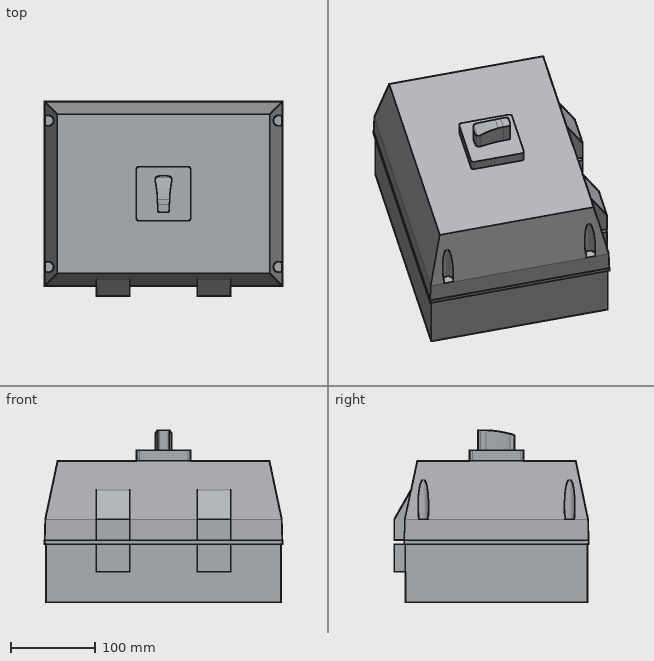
import cadquery as cq

BASE_HEIGHT = 69.3
RIM_TOP = 74.0
SKIRT_TOP = 98.5
LID_TOP = 168.0
PLATE_TOP = 180.8
KNOB_TOP = 204.5

RIM_LENGTH = 283.0
RIM_WIDTH = 219.5
BASE_INSET = 1.7
SKIRT_FOOT_INSET = 0.3
SKIRT_TOP_INSET = 0.8
LID_TOP_INSET = 15.5

LATCH_WIDTH = 40.0
LATCH_SPACING = 119.7
LATCH_FACE_Y = -121.7
LATCH_BOTTOM = 36.2
LATCH_TOP = 134.0
LATCH_ROOT_Y = LID_TOP_INSET - RIM_WIDTH / 2

GROOVE_DIAMETER = 12.7
GROOVE_X = 137.0
GROOVE_Y = 87.0

PLATE_SIZE = 64.5
PLATE_CORNER_RADIUS = 3.5
KNOB_FRONT_Y = -22.0
KNOB_BACK_Y = 21.5
KNOB_FLARE_Y = -12.7
KNOB_FALL_Y = -6.2
KNOB_FALL_DROP = 0.3
KNOB_FRONT_BULGE = 0.5
KNOB_BACK_BULGE = 1.7
KNOB_BACK_CLEARANCE = 0.5
KNOB_FRONT_WIDTH = 14.2
KNOB_BACK_WIDTH = 21.5
KNOB_BACK_DROP = 6.0
KNOB_FRONT_RADIUS = 2.5
KNOB_BACK_RADIUS = 4.5
KNOB_BACK_TOP_RADIUS = 3.5


def block(inset, bottom, top):
    """Rectangular block whose walls stand a given inset behind the rim edge."""
    return (
        cq.Workplane("XY", origin=(0, 0, bottom))
        .rect(RIM_LENGTH - 2 * inset, RIM_WIDTH - 2 * inset)
        .extrude(top - bottom)
    )


def frustum(bottom_inset, top_inset, bottom, top):
    """Block whose four walls lean from one inset to another."""
    return (
        cq.Workplane("XY", origin=(0, 0, bottom))
        .rect(RIM_LENGTH - 2 * bottom_inset, RIM_WIDTH - 2 * bottom_inset)
        .workplane(offset=top - bottom)
        .rect(RIM_LENGTH - 2 * top_inset, RIM_WIDTH - 2 * top_inset)
        .loft(ruled=True)
    )


def add_latches(body, side_outline):
    """Add a latch half with the given (Y, Z) outline at each latch position."""
    for center_x in (-LATCH_SPACING / 2, LATCH_SPACING / 2):
        latch = (
            cq.Workplane("YZ", origin=(center_x, 0, 0))
            .polyline(side_outline)
            .close()
            .extrude(LATCH_WIDTH / 2, both=True)
        )
        body = body.union(latch)
    return body


def make_base():
    """Lower box with the lower latch halves."""
    outline = [
        (LATCH_ROOT_Y, LATCH_BOTTOM),
        (LATCH_FACE_Y, LATCH_BOTTOM),
        (LATCH_FACE_Y, BASE_HEIGHT),
        (LATCH_ROOT_Y, BASE_HEIGHT),
    ]
    return add_latches(block(BASE_INSET, 0, BASE_HEIGHT), outline)


def make_lid():
    """Rim, drafted skirt and sloping hood, with screw grooves and upper latch halves."""
    rim = block(0, BASE_HEIGHT, RIM_TOP)
    skirt = frustum(SKIRT_FOOT_INSET, SKIRT_TOP_INSET, RIM_TOP, SKIRT_TOP)
    hood = frustum(SKIRT_TOP_INSET, LID_TOP_INSET, SKIRT_TOP, LID_TOP)
    grooves = (
        cq.Workplane("XY", origin=(0, 0, SKIRT_TOP))
        .rect(2 * GROOVE_X, 2 * GROOVE_Y, forConstruction=True)
        .vertices()
        .circle(GROOVE_DIAMETER / 2)
        .extrude(LID_TOP - SKIRT_TOP)
    )
    lid = rim.union(skirt).union(hood).cut(grooves)

    slope_fraction = (LATCH_TOP - SKIRT_TOP) / (LID_TOP - SKIRT_TOP)
    inset_at_latch_top = SKIRT_TOP_INSET + slope_fraction * (LID_TOP_INSET - SKIRT_TOP_INSET)
    outline = [
        (LATCH_ROOT_Y, RIM_TOP),
        (LATCH_FACE_Y, RIM_TOP),
        (LATCH_FACE_Y, SKIRT_TOP),
        (inset_at_latch_top - RIM_WIDTH / 2, LATCH_TOP),
        (LATCH_ROOT_Y, LATCH_TOP),
    ]
    return add_latches(lid, outline)


def make_knob():
    """Knob with bowed ends, its sides flaring and its top falling in arcs towards the back."""
    front_half = KNOB_FRONT_WIDTH / 2
    back_half = KNOB_BACK_WIDTH / 2
    front_corner_y = KNOB_FRONT_Y + KNOB_FRONT_BULGE
    back_corner_y = KNOB_BACK_Y - KNOB_BACK_BULGE
    half_flare_y = (KNOB_FLARE_Y + back_corner_y) / 2
    half_flare_x = front_half + (back_half - front_half) / 4
    prism = (
        cq.Workplane("XY", origin=(0, 0, PLATE_TOP))
        .moveTo(-front_half, front_corner_y)
        .threePointArc((0, KNOB_FRONT_Y), (front_half, front_corner_y))
        .lineTo(front_half, KNOB_FLARE_Y)
        .threePointArc((half_flare_x, half_flare_y), (back_half, back_corner_y))
        .threePointArc((0, KNOB_BACK_Y), (-back_half, back_corner_y))
        .threePointArc((-half_flare_x, half_flare_y), (-front_half, KNOB_FLARE_Y))
        .close()
        .extrude(KNOB_TOP - PLATE_TOP)
    )
    prism = prism.edges("|Z").edges("<Y").fillet(KNOB_FRONT_RADIUS)
    prism = prism.edges("|Z").edges(">Y").fillet(KNOB_BACK_RADIUS)

    profile_back_y = KNOB_BACK_Y + KNOB_BACK_CLEARANCE
    side_profile = (
        cq.Workplane("YZ")
        .moveTo(KNOB_FRONT_Y, PLATE_TOP)
        .lineTo(KNOB_FRONT_Y, KNOB_TOP)
        .lineTo(KNOB_FLARE_Y, KNOB_TOP)
        .tangentArcPoint((KNOB_FALL_Y, KNOB_TOP - KNOB_FALL_DROP), relative=False)
        .tangentArcPoint((profile_back_y, KNOB_TOP - KNOB_BACK_DROP), relative=False)
        .lineTo(profile_back_y, PLATE_TOP)
        .close()
        .extrude(KNOB_BACK_WIDTH, both=True)
    )
    side_profile = side_profile.faces(">Y").edges(">Z").fillet(KNOB_BACK_TOP_RADIUS)
    return prism.intersect(side_profile)


def make_switch():
    """Mounting plate with the knob standing on it."""
    plate = (
        cq.Workplane("XY", origin=(0, 0, LID_TOP))
        .rect(PLATE_SIZE, PLATE_SIZE)
        .extrude(PLATE_TOP - LID_TOP)
        .edges("|Z")
        .fillet(PLATE_CORNER_RADIUS)
    )
    return plate.union(make_knob())


base = make_base()
lid = make_lid()
switch = make_switch()

result = cq.Compound.makeCompound([base.val(), lid.val(), switch.val()])